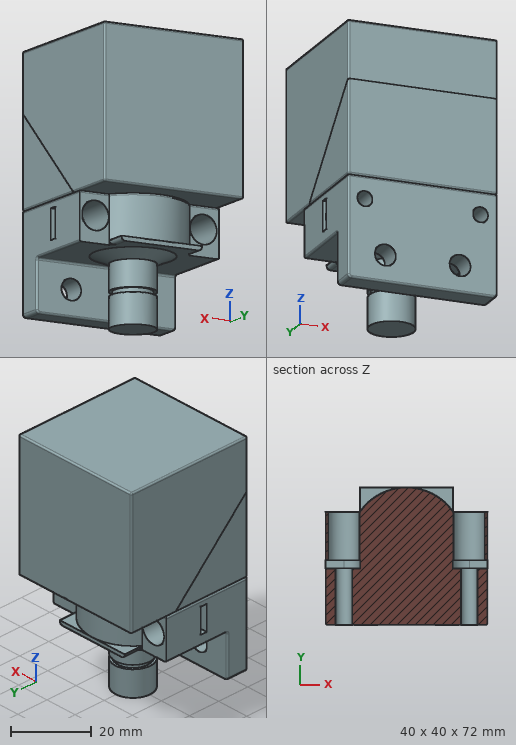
import cadquery as cq
import math

total_height = 72.0
width = 40.0
half_width = width / 2
edge_round = 0.5

head_height = 40.5
joint_z = total_height - head_height
wedge_leg = 25.0

base_bottom_z = 18.5
block_back_y = 8.0
boss_radius = 14.05
flange_bottom_z = 4.5
flange_thickness = 7.0
flange_back_y = -half_width + flange_thickness
flange_corner_round = 1.0
inner_corner_round = 0.6
lip_height = 1.2
lip_round = 1.1

plug_radius = 6.0
cone_top_radius = 10.8
cone_bottom_z = 16.55
groove_radius = 5.2
groove_bottom_z = 8.2
groove_height = 1.3

upper_hole_diameter = 4.0
upper_hole_x = 15.5
upper_hole_z = 25.55
counterbore_diameter = 7.6
lower_hole_diameter = 5.6
lower_hole_x = 10.0
lower_hole_z = 11.5

slot_height = 8.1
slot_width = 2.0
slot_front_y = -6.0


def full_head():
    """Cube with all its edges rounded, before the split."""
    head = cq.Workplane("XY").workplane(offset=joint_z).rect(width, width).extrude(head_height)
    return head.edges().fillet(edge_round)


def wedge_space():
    """Triangular prism along X that fills the lower front corner of the head."""
    return (
        cq.Workplane("YZ", origin=(-half_width, 0, 0))
        .moveTo(-half_width, joint_z)
        .lineTo(-half_width + wedge_leg, joint_z)
        .lineTo(-half_width, joint_z + wedge_leg)
        .close()
        .extrude(width)
    )


def flanged_block():
    """Block with a screw flange hanging down at the front, its lower and side edges rounded."""
    block = (
        cq.Workplane("YZ", origin=(-half_width, 0, 0))
        .moveTo(-half_width, flange_bottom_z)
        .lineTo(flange_back_y, flange_bottom_z)
        .lineTo(flange_back_y, base_bottom_z)
        .lineTo(block_back_y, base_bottom_z)
        .lineTo(block_back_y, joint_z)
        .lineTo(-half_width, joint_z)
        .close()
        .extrude(width)
    )
    block = block.faces("<Z").edges("|Y").fillet(flange_corner_round)
    inner_corner = cq.selectors.NearestToPointSelector((0, flange_back_y, base_bottom_z))
    block = block.edges(inner_corner).fillet(inner_corner_round)
    underside_edge = cq.selectors.NearestToPointSelector((-half_width, 0, base_bottom_z))
    block = block.edges(underside_edge).fillet(edge_round)
    return block


def boss_and_lip():
    """Round back of the base with a straight-sided lip along its bottom edge."""
    boss = (
        cq.Workplane("XY", origin=(0, 0, base_bottom_z))
        .circle(boss_radius)
        .extrude(joint_z - base_bottom_z)
    )
    back_space = (
        cq.Workplane("XY", origin=(0, block_back_y, base_bottom_z))
        .box(width, width, joint_z - base_bottom_z, centered=(True, False, False))
    )
    half_chord = math.sqrt(boss_radius ** 2 - block_back_y ** 2)
    lip = (
        cq.Workplane("XY", origin=(0, block_back_y, base_bottom_z))
        .box(2 * half_chord, boss_radius - block_back_y, lip_height, centered=(True, False, False))
        .faces("<Z").edges("|Y").fillet(lip_round)
    )
    return boss.intersect(back_space).union(lip)


def base_body():
    """Block and round back in one, with the edges of the top and front faces rounded."""
    body = flanged_block().union(boss_and_lip())
    return body.faces(">Z or <Y").edges().fillet(edge_round)


def plug():
    """Grooved round plug with a conical collar, revolved about the Z axis."""
    return (
        cq.Workplane("XZ")
        .moveTo(0, 0)
        .lineTo(plug_radius, 0)
        .lineTo(plug_radius, groove_bottom_z)
        .lineTo(groove_radius, groove_bottom_z)
        .lineTo(groove_radius, groove_bottom_z + groove_height)
        .lineTo(plug_radius, groove_bottom_z + groove_height)
        .lineTo(plug_radius, cone_bottom_z)
        .lineTo(cone_top_radius, base_bottom_z)
        .lineTo(0, base_bottom_z)
        .close()
        .revolve(360, (0, 0, 0), (0, 1, 0))
    )


def screw_holes(diameter, x, z):
    """Mirrored pair of cylinders along Y."""
    return (
        cq.Workplane("XZ", origin=(0, half_width, 0))
        .pushPoints([(-x, z), (x, z)])
        .circle(diameter / 2)
        .extrude(width)
    )


def side_slot(side):
    """Slot with a round inner end about the upper screw hole, open at the side given by its sign."""
    plane = cq.Workplane("XZ", origin=(0, slot_front_y, 0))
    inner_end = plane.center(side * upper_hole_x, upper_hole_z).circle(slot_height / 2).extrude(-slot_width)
    open_length = half_width - upper_hole_x
    opening = (
        plane.center(side * (upper_hole_x + open_length / 2), upper_hole_z)
        .rect(open_length, slot_height)
        .extrude(-slot_width)
    )
    return inner_end.union(opening)


def counterbores():
    """Wider back stretch of the upper screw holes, from the slots to the back of the block."""
    return (
        cq.Workplane("XZ", origin=(0, slot_front_y, 0))
        .pushPoints([(-upper_hole_x, upper_hole_z), (upper_hole_x, upper_hole_z)])
        .circle(counterbore_diameter / 2)
        .extrude(slot_front_y - block_back_y)
    )


head = full_head()
cap = head.cut(wedge_space())
wedge = head.intersect(wedge_space())

base = base_body().union(plug())
base = base.cut(screw_holes(upper_hole_diameter, upper_hole_x, upper_hole_z))
base = base.cut(screw_holes(lower_hole_diameter, lower_hole_x, lower_hole_z))
base = base.cut(counterbores())
for side in (-1, 1):
    base = base.cut(side_slot(side))

result = cq.Compound.makeCompound([cap.val(), wedge.val(), base.val()])